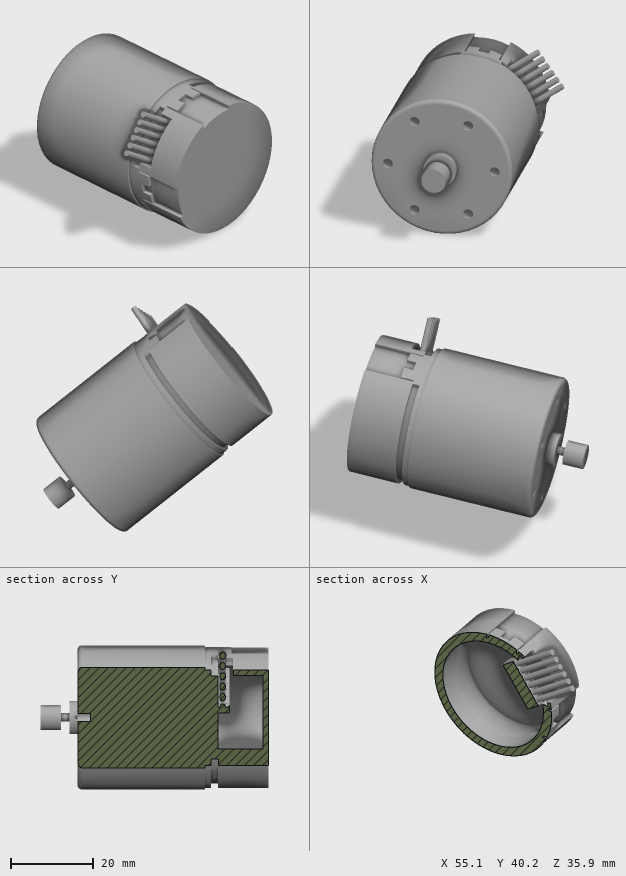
import cadquery as cq


housing_radius = 17.4
housing_length = 30.7
housing_edge_fillet = 1.0
boss_radius = 4.0
boss_length = 2.0
root_depth = 1.0
screw_hole_count = 6
screw_hole_diameter = 2.4
screw_hole_circle_radius = 13.2
screw_hole_depth = 3.0

shaft_diameter = 2.0
pinion_diameter = 6.0
pinion_length = 5.0
shaft_tip_x = -9.0

rear_x = 46.1
rear_wall = 1.5
core_radius = 16.0
cap_radius = 17.0
neck_start_x = 32.2
shell_start_x = 33.9
gap_width = 9.0
gap_angles = (-45.0, 45.0)
neck_bridge_width = 10.15

tongue_end_x = 37.15
tongue_width = 8.3
tongue_notch_x = 34.9
tongue_notch_width = 2.7

recess_start_x = 37.5
recess_end_x = rear_x - rear_wall
recess_depth = 0.1

window_end_x = 37.5
window_angle = 45.0
cavity_radius = 14.5
pocket_side_distance = 10.0
cavity_start_x = shell_start_x
cavity_end_x = rear_x - rear_wall

connector_angle = 144.85
wire_count = 6
wire_pitch = 2.04
wire_diameter = 1.46
wire_center_x = 34.95
wire_tip_distance = 23.8
connector_face_distance = 11.8
connector_depth = 4.0
connector_thickness = 3.4
connector_length = 12.6
contact_cell_width = 2.5
contact_cell_length = 1.75
contact_cell_depth = 0.2
connector_start_x = wire_center_x - connector_thickness / 2


def cylinder(radius, start_x, end_x):
    return cq.Workplane("YZ").workplane(offset=start_x).circle(radius).extrude(end_x - start_x)


def ring(inner_radius, outer_radius, start_x, end_x):
    return cylinder(outer_radius, start_x, end_x).cut(cylinder(inner_radius, start_x, end_x))


def radial_box(start_x, end_x, start_distance, end_distance, width, offset=0):
    """Box reaching out along +Y, with its width along Z."""
    return cq.Workplane("XY").box(
        end_x - start_x, end_distance - start_distance, width, centered=(False, False, True)
    ).translate((start_x, start_distance, offset))


def make_housing():
    body = cylinder(housing_radius, 0, housing_length).faces("<X").edges().fillet(housing_edge_fillet)
    screw_holes = (
        cq.Workplane("YZ")
        .polarArray(screw_hole_circle_radius, 0, 360, screw_hole_count)
        .circle(screw_hole_diameter / 2)
        .extrude(screw_hole_depth)
    )
    boss = cylinder(boss_radius, -boss_length, root_depth)
    shaft = cylinder(shaft_diameter / 2, shaft_tip_x, root_depth)
    return body.cut(screw_holes).union(boss).union(shaft)


def gap_strip(angle, width, start_x, end_x):
    """Straight-sided strip of the given width that crosses the cap wall in one gap direction."""
    strip = radial_box(start_x, end_x, cavity_radius / 2, housing_radius, width)
    return strip.rotate((0, 0, 0), (1, 0, 0), angle)


def make_window():
    """Cable window through the panel shell, with radial sides, centred on +Y."""
    window = (
        cq.Workplane("XY")
        .moveTo(shell_start_x, core_radius)
        .lineTo(window_end_x, core_radius)
        .lineTo(window_end_x, housing_radius)
        .lineTo(shell_start_x, housing_radius)
        .close()
        .revolve(window_angle, (0, 0, 0), (1, 0, 0))
    )
    return window.rotate((0, 0, 0), (1, 0, 0), -window_angle / 2)


def make_cap_shell():
    """Cap with its connector side facing +Y, still without the connector."""
    cap = cylinder(cap_radius, housing_length, rear_x)
    neck_groove = ring(core_radius, cap_radius, neck_start_x, shell_start_x)
    pocket = ring(cavity_radius, core_radius, cavity_start_x, cavity_end_x)
    pocket = pocket.intersect(
        radial_box(cavity_start_x, cavity_end_x, pocket_side_distance, cap_radius, 2 * cap_radius)
    )

    for angle in gap_angles:
        bridge = gap_strip(angle, neck_bridge_width, neck_start_x, rear_x)
        neck_groove = neck_groove.cut(bridge)
        pocket = pocket.cut(bridge)

        gap = ring(core_radius, cap_radius, shell_start_x, rear_x).intersect(
            gap_strip(angle, gap_width, shell_start_x, rear_x)
        )
        tongue = gap_strip(angle, tongue_width, shell_start_x, tongue_end_x)
        notch = gap_strip(angle, tongue_notch_width, tongue_notch_x, tongue_end_x)
        cap = cap.cut(gap.cut(tongue.cut(notch)))

    recess = ring(core_radius - recess_depth, core_radius, recess_start_x, recess_end_x).intersect(
        gap_strip(gap_angles[1], gap_width, recess_start_x, recess_end_x)
    )
    cavity = cylinder(cavity_radius, cavity_start_x, cavity_end_x)
    for opening in (neck_groove, recess, cavity, pocket, make_window()):
        cap = cap.cut(opening)
    return cap


def make_connector():
    """Connector block along +Y with one wire standing in each contact cell."""
    block = radial_box(
        connector_start_x, connector_start_x + connector_thickness,
        connector_face_distance - connector_depth, connector_face_distance, connector_length,
    )
    cell_floor_distance = connector_face_distance - contact_cell_depth
    for index in range(wire_count):
        offset = (index - (wire_count - 1) / 2) * wire_pitch
        cell = radial_box(
            wire_center_x - contact_cell_width / 2, wire_center_x + contact_cell_width / 2,
            cell_floor_distance, connector_face_distance, contact_cell_length, offset,
        )
        wire = cq.Workplane(
            cq.Solid.makeCylinder(
                wire_diameter / 2,
                wire_tip_distance - cell_floor_distance,
                cq.Vector(wire_center_x, cell_floor_distance, offset),
                cq.Vector(0, 1, 0),
            )
        )
        block = block.cut(cell).union(wire)
    return block


def make_motor():
    cap = make_cap_shell().union(make_connector())
    return make_housing().union(cap.rotate((0, 0, 0), (1, 0, 0), connector_angle))


def make_pinion():
    blank = cylinder(pinion_diameter / 2, shaft_tip_x, shaft_tip_x + pinion_length)
    return blank.cut(cylinder(shaft_diameter / 2, shaft_tip_x, shaft_tip_x + pinion_length))


motor = make_motor()
pinion = make_pinion()

result = cq.Compound.makeCompound([motor.val(), pinion.val()])